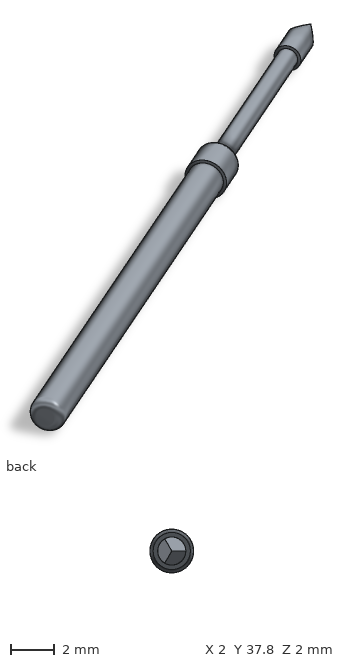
import cadquery as cq
import math

total_length = 37.8
rear_y = -total_length / 2
tip_y = total_length / 2

barrel_radius = 1.7 / 2
rear_rounding = 0.4
collar_radius = 2.0 / 2
collar_length = 1.93
collar_chamfer = 0.23
collar_front_y = tip_y - 12.8

plunger_radius = 1.0 / 2
head_radius = 1.3 / 2
head_length = 3.0
head_rear_y = tip_y - head_length
face_count = 3
edge_slope = 0.93


def cylinder(radius, start_y, end_y):
    """Solid cylinder on the Y axis."""
    start_plane = cq.Plane(origin=(0, start_y, 0), xDir=(1, 0, 0), normal=(0, 1, 0))
    return cq.Workplane(start_plane).circle(radius).extrude(end_y - start_y)


def make_barrel():
    barrel = cylinder(barrel_radius, rear_y, collar_front_y)
    return barrel.faces("<Y").edges().fillet(rear_rounding)


def make_collar():
    collar = cylinder(collar_radius, collar_front_y - collar_length, collar_front_y)
    return collar.faces(">Y").edges().chamfer(collar_chamfer)


def make_head():
    """Cylinder cut to a point by equal flat faces; one pyramid edge points toward -X."""
    head = cylinder(head_radius, head_rear_y, tip_y)
    face_slope = edge_slope / math.cos(math.pi / face_count)
    reach = 2 * head_radius
    wedge = (
        cq.Workplane("XY")
        .moveTo(0, tip_y)
        .lineTo(reach, tip_y)
        .lineTo(reach, tip_y - face_slope * reach)
        .close()
        .extrude(2 * reach, both=True)
    )
    for index in range(face_count):
        angle = index * 360 / face_count
        head = head.cut(wedge.rotate((0, 0, 0), (0, 1, 0), angle))
    return head


plunger = cylinder(plunger_radius, collar_front_y, head_rear_y)
body = make_barrel().union(make_collar())
result = body.union(plunger).union(make_head())